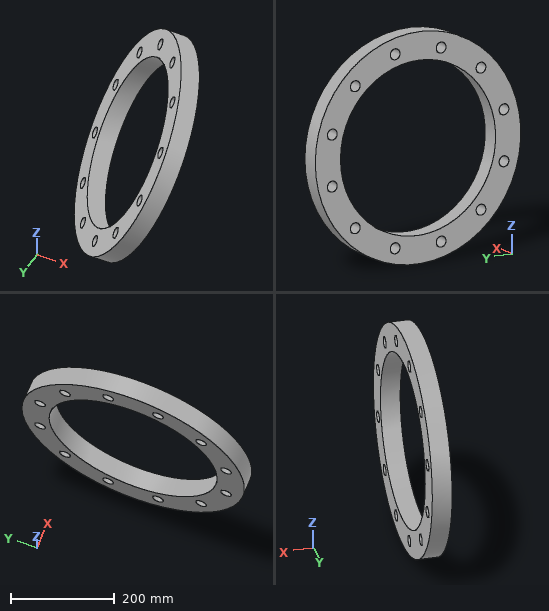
import cadquery as cq

outer_diameter = 463.0
bore_diameter = 349.0
thickness = 40.0

bolt_hole_count = 12
bolt_hole_diameter = 22.0
bolt_circle_diameter = 400.0
bolt_spacing_angle = 360.0 / bolt_hole_count
first_bolt_angle = bolt_spacing_angle / 2

ring = (
    cq.Workplane("YZ")
    .circle(outer_diameter / 2)
    .circle(bore_diameter / 2)
    .extrude(thickness)
)

bolt_holes = (
    cq.Workplane("YZ")
    .polarArray(bolt_circle_diameter / 2, first_bolt_angle, 360, bolt_hole_count)
    .circle(bolt_hole_diameter / 2)
    .extrude(thickness)
)

result = ring.cut(bolt_holes)